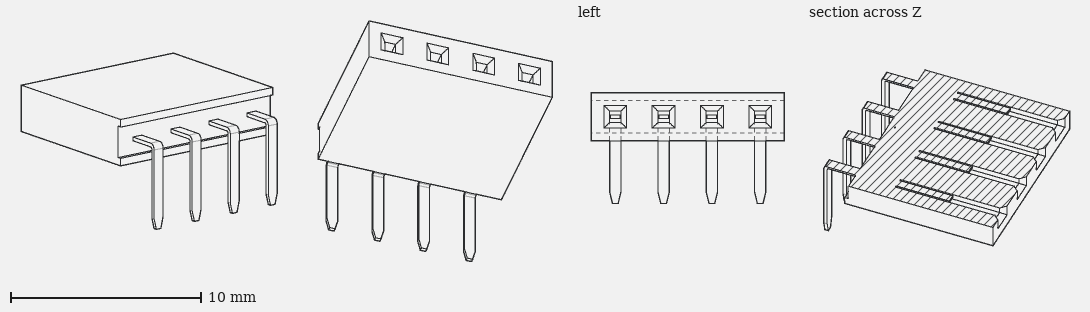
import cadquery as cq


pin_count = 4
row_length = 10.16
overall_height = 5.84
pitch = row_length / pin_count

housing_depth = 8.5
housing_height = pitch
rear_recess_depth = 0.2
rear_lip_height = 0.42

funnel_opening = 1.2
socket_depth = 5.99

pin_width = 0.6
pin_thickness = 0.2
bend_inner_radius = 0.1
pin_rear_x = 10.13
pin_bottom_z = housing_height / 2 - overall_height
pin_reach_into_socket = 3.05
tip_width = 0.3
contact_width = 0.5
tip_length = 0.6

socket_width = pin_width
funnel_depth = (funnel_opening - socket_width) / 2
bend_outer_radius = bend_inner_radius + pin_thickness
pin_front_x = socket_depth - pin_reach_into_socket
pin_positions = [(i - (pin_count - 1) / 2) * pitch for i in range(pin_count)]


def make_housing():
    """Plain block with a full-length shallow channel in its rear face."""
    block = cq.Workplane("XY").box(
        housing_depth, row_length, housing_height, centered=(False, True, True)
    )
    recess = (
        cq.Workplane("XY")
        .box(
            rear_recess_depth,
            row_length,
            housing_height - 2 * rear_lip_height,
            centered=(False, True, True),
        )
        .translate((housing_depth - rear_recess_depth, 0, 0))
    )
    return block.cut(recess)


def make_socket(y):
    """Blind square hole with a tapered lead-in at the mating face."""
    hole = (
        cq.Workplane("YZ")
        .center(y, 0)
        .rect(socket_width, socket_width)
        .extrude(socket_depth)
    )
    funnel = (
        cq.Workplane("YZ")
        .center(y, 0)
        .rect(funnel_opening, funnel_opening)
        .workplane(offset=funnel_depth)
        .rect(socket_width, socket_width)
        .loft()
    )
    return hole.union(funnel)


def make_pin(y):
    """Flat strip bent through a right angle, with a pointed leg and a narrower contact in the socket."""
    top_z = pin_thickness / 2
    strip = (
        cq.Workplane("XZ", origin=(0, y + pin_width / 2, 0))
        .moveTo(socket_depth, top_z)
        .lineTo(pin_rear_x - bend_outer_radius, top_z)
        .radiusArc((pin_rear_x, top_z - bend_outer_radius), bend_outer_radius)
        .lineTo(pin_rear_x, pin_bottom_z)
        .lineTo(pin_rear_x - pin_thickness, pin_bottom_z)
        .lineTo(pin_rear_x - pin_thickness, top_z - bend_outer_radius)
        .radiusArc((pin_rear_x - bend_outer_radius, -top_z), -bend_inner_radius)
        .lineTo(socket_depth, -top_z)
        .close()
        .extrude(pin_width)
    )
    leg_outline = (
        cq.Workplane("YZ")
        .moveTo(y - tip_width / 2, pin_bottom_z)
        .lineTo(y + tip_width / 2, pin_bottom_z)
        .lineTo(y + pin_width / 2, pin_bottom_z + tip_length)
        .lineTo(y + pin_width / 2, top_z)
        .lineTo(y - pin_width / 2, top_z)
        .lineTo(y - pin_width / 2, pin_bottom_z + tip_length)
        .close()
        .extrude(pin_rear_x)
    )
    contact = cq.Workplane("XY").box(
        pin_reach_into_socket, contact_width, pin_thickness, centered=(False, True, True)
    )
    contact = contact.translate((pin_front_x, y, 0))
    return strip.intersect(leg_outline).union(contact)


result = make_housing()
for pin_y in pin_positions:
    result = result.cut(make_socket(pin_y))
for pin_y in pin_positions:
    result = result.union(make_pin(pin_y))